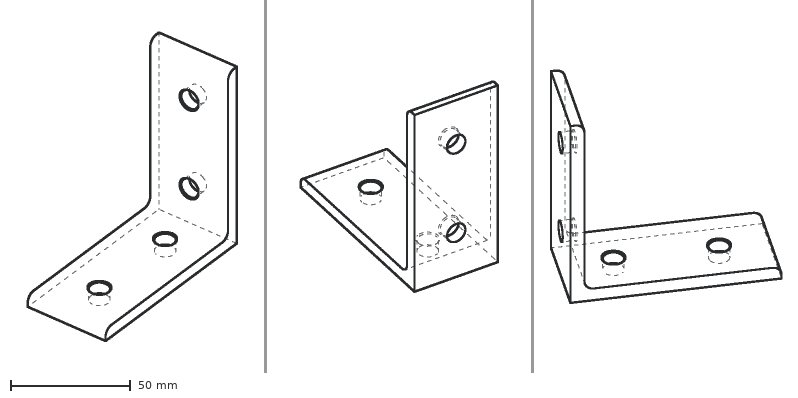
import cadquery as cq

leg_length = 90.0
width = 41.0
thickness = 6.0
edge_radius = 4.0

hole_diameter = 9.0
hole_chamfer = 0.5
hole_spacing = leg_length / 2
hole_positions = [(leg_length - hole_spacing) / 2, (leg_length + hole_spacing) / 2]


def make_leg_profile():
    """L-shaped side profile in the YZ plane, outer corner at (leg_length, 0)."""
    inner_y = leg_length - thickness
    return (
        cq.Workplane("YZ")
        .moveTo(0, 0)
        .lineTo(leg_length, 0)
        .lineTo(leg_length, leg_length)
        .lineTo(inner_y + edge_radius, leg_length)
        .radiusArc((inner_y, leg_length - edge_radius), -edge_radius)
        .lineTo(inner_y, thickness + edge_radius)
        .radiusArc((inner_y - edge_radius, thickness), edge_radius)
        .lineTo(edge_radius, thickness)
        .radiusArc((0, thickness - edge_radius), -edge_radius)
        .close()
    )


def make_hole_cutter():
    """Hole along +Z through one leg, with its chamfer at the inner face."""
    radius = hole_diameter / 2
    return (
        cq.Workplane("XZ")
        .moveTo(0, 0)
        .lineTo(radius, 0)
        .lineTo(radius, thickness - hole_chamfer)
        .lineTo(radius + hole_chamfer, thickness)
        .lineTo(0, thickness)
        .close()
        .revolve(360, (0, 0, 0), (0, 1, 0))
    )


result = make_leg_profile().extrude(width / 2, both=True)

hole_cutter = make_hole_cutter()
wall_cutter = hole_cutter.rotate((0, 0, 0), (1, 0, 0), 90)
for position in hole_positions:
    result = result.cut(hole_cutter.translate((0, position, 0)))
    result = result.cut(wall_cutter.translate((0, leg_length, position)))